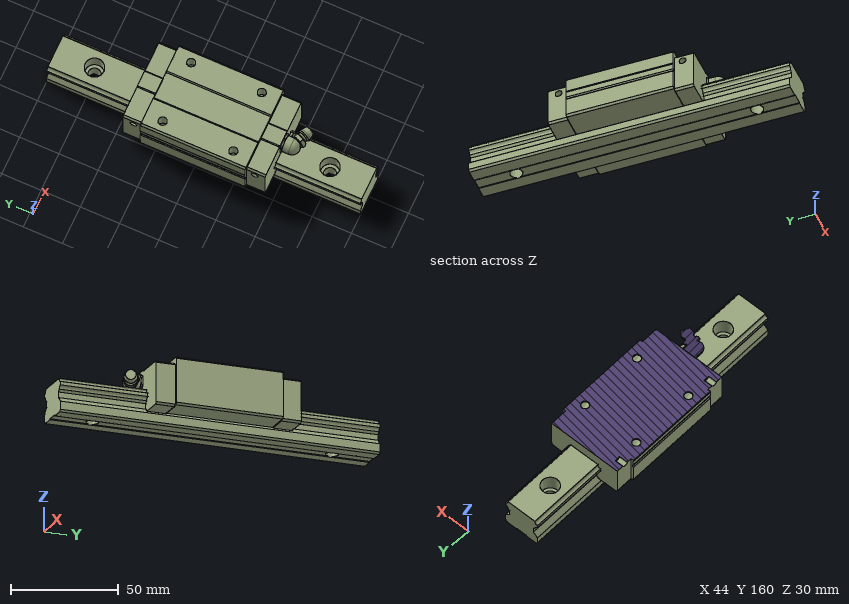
import cadquery as cq
import math

rail_length = 160.0
rail_width = 20.0
rail_half_width = rail_width / 2
rail_height = 16.8
rail_foot_chamfer = 1.0
rail_waist_half_width = 7.5
rail_foot_shoulder_z = 5.0
rail_waist_low_z = 7.5
rail_waist_high_z = 10.2
rail_head_low_z = 13.0
rail_head_high_z = 14.7
rail_top_half_width = 8.5
lower_raceway_z = 11.4
lower_raceway_mid_z = 12.3
upper_raceway_z = 16.3
upper_raceway_mid_z = 15.2
raceway_mid_x = 9.0
relief_half_width = 2.9
relief_depth = 0.5
rail_hole_spacing = 120.0
rail_hole_dia = 6.0
rail_counterbore_dia = 9.5
rail_counterbore_depth = 8.5

block_width = 44.0
block_length = 53.5
block_bottom_z = 6.5
block_top_z = 30.0
corner_chamfer = 1.0
channel_top_half_width = 7.5
channel_floor_half_width = 6.9
channel_depth = 0.5
side_step_z = 21.6
side_step_height = 0.5
side_step_depth = 0.2
groove_z = 18.0
groove_radius = 0.6
mount_spacing_x = 32.0
mount_spacing_y = 36.0
mount_hole_dia = 4.2
mount_hole_depth = 8.0
drill_point_angle = 118.0

cap_width = 41.1
cap_length = 9.6
cap_bottom_z = 6.0
cap_top_z = 27.4
crown_top_half_width = 4.0
crown_base_half_width = 4.5
crown_height = 0.5
plug_hole_dia = 3.4
plug_hole_depth = 4.8
plug_hole_z = 23.4
plug_hole_y = 30.9

nipple_axis_z = 22.5
base_hex_corners = 9.6
base_hex_length = 1.0
hex_chamfer = 0.6
elbow_dia = 8.0
elbow_length = 4.3
nipple_angle = 22.5
nipple_hex_corners = 8.0
nipple_hex_start = 3.4
nipple_hex_end = 5.6
neck_dia = 5.0
neck_end = 7.0
head_dia = 6.4
head_start = 7.7
head_end = 8.6
tip_dia = 5.0
tip_end = 11.4

carriage_end_y = block_length / 2 + cap_length


def mirrored(right_side):
    """Close an outline from its +X half, listed from bottom to top."""
    return right_side + [(-x, z) for x, z in reversed(right_side)]


def extrude_along_y(outline, length, y_center=0.0):
    """Prism of an XZ outline, centred on y_center."""
    plane = cq.Workplane("XZ", origin=(0, y_center, 0))
    return plane.polyline(outline).close().extrude(length / 2, both=True)


def make_rail_bar():
    """Rail section without screw holes; each side has two concave raceways at its head."""
    half_section = (
        cq.Workplane("XZ")
        .moveTo(0, relief_depth)
        .lineTo(relief_half_width, relief_depth)
        .lineTo(relief_half_width, 0)
        .lineTo(rail_half_width - rail_foot_chamfer, 0)
        .lineTo(rail_half_width, rail_foot_chamfer)
        .lineTo(rail_half_width, rail_foot_shoulder_z)
        .lineTo(rail_waist_half_width, rail_waist_low_z)
        .lineTo(rail_waist_half_width, rail_waist_high_z)
        .lineTo(rail_top_half_width, lower_raceway_z)
        .threePointArc((raceway_mid_x, lower_raceway_mid_z), (rail_half_width, rail_head_low_z))
        .lineTo(rail_half_width, rail_head_high_z)
        .threePointArc((raceway_mid_x, upper_raceway_mid_z), (rail_top_half_width, upper_raceway_z))
        .lineTo(rail_top_half_width, rail_height)
        .lineTo(0, rail_height)
    )
    return half_section.mirrorY().extrude(rail_length / 2, both=True)


def make_rail():
    return (
        make_rail_bar()
        .faces(">Z").workplane(origin=(0, 0, rail_height))
        .rarray(1.6, rail_hole_spacing, 1, 2)
        .cboreHole(rail_hole_dia, rail_counterbore_dia, rail_counterbore_depth)
    )


def make_block():
    """Block prism; its -X side is stepped back slightly and carries a half-round groove."""
    half = block_width / 2
    lower_side = -half + side_step_depth
    outline = [
        (-half + corner_chamfer, block_bottom_z),
        (half - corner_chamfer, block_bottom_z),
        (half, block_bottom_z + corner_chamfer),
        (half, block_top_z - corner_chamfer),
        (half - corner_chamfer, block_top_z),
        (channel_top_half_width, block_top_z),
        (channel_floor_half_width, block_top_z - channel_depth),
        (-channel_floor_half_width, block_top_z - channel_depth),
        (-channel_top_half_width, block_top_z),
        (-half + corner_chamfer, block_top_z),
        (-half, block_top_z - corner_chamfer),
        (-half, side_step_z + side_step_height),
        (lower_side, side_step_z),
        (lower_side, groove_z),
        (-half, groove_z),
        (-half, block_bottom_z + corner_chamfer),
    ]
    side_groove = (
        cq.Workplane("XZ")
        .center(-half, groove_z)
        .circle(groove_radius)
        .extrude(block_length / 2, both=True)
    )
    return extrude_along_y(outline, block_length).cut(side_groove)


def cap_outline():
    half = cap_width / 2
    return mirrored([
        (half - corner_chamfer, cap_bottom_z),
        (half, cap_bottom_z + corner_chamfer),
        (half, cap_top_z - corner_chamfer),
        (half - corner_chamfer, cap_top_z),
        (crown_base_half_width, cap_top_z),
        (crown_top_half_width, cap_top_z + crown_height),
    ])


def mounting_holes():
    """Blind drilled holes with conical bottoms."""
    radius = mount_hole_dia / 2
    point_height = radius / math.tan(math.radians(drill_point_angle / 2))
    drill = (
        cq.Workplane("XZ")
        .polyline([
            (0, 0),
            (radius, 0),
            (radius, -mount_hole_depth),
            (0, -mount_hole_depth - point_height),
        ])
        .close()
        .revolve(360, (0, 0), (0, 1))
        .val()
    )
    return (
        cq.Workplane("XY", origin=(0, 0, block_top_z))
        .rarray(mount_spacing_x, mount_spacing_y, 2, 2)
        .eachpoint(drill)
    )


def make_carriage():
    carriage = make_block()
    for side in (-1, 1):
        cap_center_y = side * (block_length + cap_length) / 2
        carriage = carriage.union(extrude_along_y(cap_outline(), cap_length, cap_center_y))

    plug_holes = (
        cq.Workplane("YZ", origin=(-cap_width / 2, 0, plug_hole_z))
        .rarray(2 * plug_hole_y, 1.6, 2, 1)
        .circle(plug_hole_dia / 2)
        .extrude(plug_hole_depth)
    )
    return carriage.cut(make_rail_bar()).cut(mounting_holes()).cut(plug_holes)


def chamfered_hexagon(plane, corners, length):
    """Hexagonal prism, a vertex on the plane's x axis, with a conical chamfer at its far end."""
    blank_radius = corners / 2
    turned_blank = (
        plane.transformed(rotate=(90, 0, 0))
        .polyline([
            (0, 0),
            (blank_radius, 0),
            (blank_radius, length - hex_chamfer),
            (blank_radius - hex_chamfer, length),
            (0, length),
        ])
        .close()
        .revolve(360, (0, 0), (0, 1))
    )
    return plane.polygon(6, corners).extrude(length).intersect(turned_blank)


def make_nipple():
    """Elbow on a hexagonal base, with a hexagon and a grooved head on its angled outlet."""
    base_plane = cq.Workplane("XZ", origin=(0, -carriage_end_y, nipple_axis_z))
    base = chamfered_hexagon(
        base_plane.transformed(rotate=(0, 0, 90)), base_hex_corners, base_hex_length
    )
    elbow = base_plane.circle(elbow_dia / 2).extrude(elbow_length)
    elbow_center = cq.Vector(0, -carriage_end_y - elbow_length, nipple_axis_z)
    ball = cq.Workplane("XY", origin=elbow_center.toTuple()).sphere(elbow_dia / 2)

    angle = math.radians(nipple_angle)
    outlet = cq.Workplane(cq.Plane(
        origin=elbow_center.toTuple(),
        xDir=(math.sin(angle), math.cos(angle), 0),
        normal=(math.cos(angle), -math.sin(angle), 0),
    ))
    outlet_hex = chamfered_hexagon(
        outlet.transformed(offset=(0, 0, nipple_hex_start)),
        nipple_hex_corners,
        nipple_hex_end - nipple_hex_start,
    )
    head = (
        outlet.transformed(rotate=(90, 0, 0))
        .polyline([
            (0, 0),
            (neck_dia / 2, 0),
            (neck_dia / 2, neck_end),
            (head_dia / 2, head_start),
            (head_dia / 2, head_end),
            (tip_dia / 2, tip_end),
            (0, tip_end),
        ])
        .close()
        .revolve(360, (0, 0), (0, 1))
    )
    return base.union(elbow).union(ball).union(outlet_hex).union(head)


rail = make_rail()
carriage = make_carriage()
nipple = make_nipple()

result = cq.Compound.makeCompound([body.solids().val() for body in (rail, carriage, nipple)])